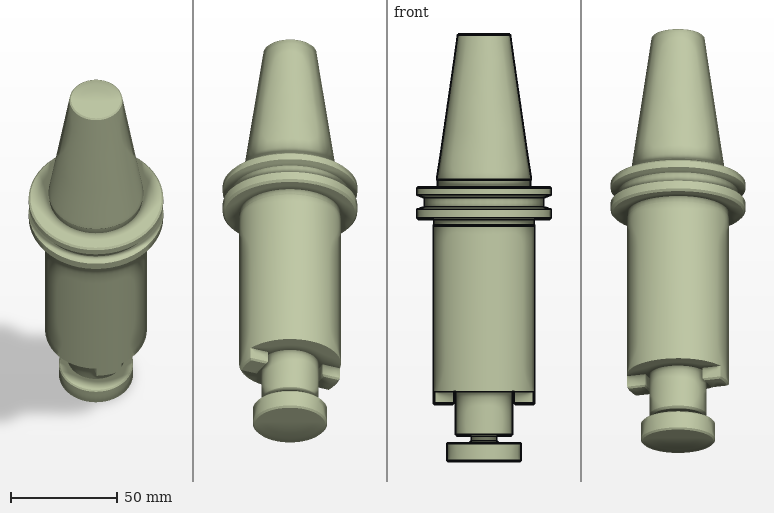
import cadquery as cq

total_height = 201.5
head_top = 9.0
pilot_bottom = 12.0
key_bottom = 27.0
body_bottom = 33.0
relief_bottom = 111.0
flange_bottom = 114.0
groove_lower_edge = 118.8
groove_floor_bottom = 120.0
groove_floor_top = 124.3
groove_upper_edge = 125.7
flange_top = 129.5
neck_top = 133.1

head_radius = 17.5
stud_radius = 6.0
pilot_radius = 13.5
key_inner_distance = 14.0
body_radius = 24.0
relief_radius = 23.8
flange_radius = 63.5 / 2
groove_radius = 28.2
neck_radius = 22.0
taper_large_radius = 22.4

taper_radius_slope = 7 / 24 / 2
taper_small_radius = taper_large_radius - (total_height - neck_top) * taper_radius_slope

head_bottom_chamfer = 0.8
head_top_chamfer = 0.6
stud_root_chamfer = 0.8
pilot_chamfer = 1.0
step_height = 0.6
flange_top_chamfer = 0.8
flange_bottom_chamfer = 1.0
taper_chamfer = 0.6
key_width = 12.0
key_chamfer = 0.8


def revolve_profile(points):
    """Solid of revolution about Z from (radius, height) points."""
    return cq.Workplane("YZ").polyline(points).close().revolve(360, (0, 0, 0), (0, 1, 0))


def cylinder(radius, bottom, top):
    return revolve_profile([(0, bottom), (radius, bottom), (radius, top), (0, top)])


def make_screw():
    """Retaining screw: a chamfered head and the stud that enters the pilot."""
    head = cylinder(head_radius, 0, head_top)
    head = head.faces("<Z").chamfer(head_bottom_chamfer)
    head = head.faces(">Z").chamfer(head_top_chamfer)
    stud_profile = [
        (0, head_top),
        (stud_radius + stud_root_chamfer, head_top),
        (stud_radius, head_top + stud_root_chamfer),
        (stud_radius, pilot_bottom),
        (0, pilot_bottom),
    ]
    return head.union(revolve_profile(stud_profile))


def make_pilot():
    pilot = cylinder(pilot_radius, pilot_bottom, body_bottom)
    return pilot.faces("<Z").chamfer(pilot_chamfer)


def make_body():
    """Cylindrical body with a shallow relief under the flange."""
    body_profile = [
        (0, body_bottom),
        (body_radius, body_bottom),
        (body_radius, relief_bottom),
        (relief_radius, relief_bottom + step_height),
        (relief_radius, flange_bottom),
        (0, flange_bottom),
    ]
    return revolve_profile(body_profile)


def make_flange():
    """Flange with a tapered-wall gripper groove around it."""
    flange = cylinder(flange_radius, flange_bottom, flange_top)
    flange = flange.faces(">Z").chamfer(flange_top_chamfer)
    flange = flange.faces("<Z").chamfer(flange_bottom_chamfer)
    groove_profile = [
        (flange_radius, groove_lower_edge),
        (groove_radius, groove_floor_bottom),
        (groove_radius, groove_floor_top),
        (flange_radius, groove_upper_edge),
    ]
    groove = revolve_profile(groove_profile)
    return flange.cut(groove)


def make_taper():
    """Cone standing on a slightly smaller neck."""
    taper_profile = [
        (0, flange_top),
        (neck_radius, flange_top),
        (neck_radius, neck_top - step_height),
        (taper_large_radius, neck_top),
        (taper_small_radius, total_height),
        (0, total_height),
    ]
    taper = revolve_profile(taper_profile)
    return taper.faces(">Z").chamfer(taper_chamfer)


def make_key(side):
    """Drive key on the +X (side = 1) or -X (side = -1) half of the body's end."""
    key_length = body_radius - key_inner_distance
    key_height = body_bottom - key_bottom
    block = cq.Workplane("XY").workplane(offset=key_bottom)
    block = block.center(side * (key_inner_distance + key_length / 2), 0)
    block = block.rect(key_length, key_width).extrude(key_height)
    key = block.intersect(cylinder(body_radius, key_bottom, body_bottom))
    return key.faces("<Z").chamfer(key_chamfer)


result = make_body().union(make_pilot()).union(make_screw()).union(make_flange()).union(make_taper())
for key_side in (-1, 1):
    result = result.union(make_key(key_side))